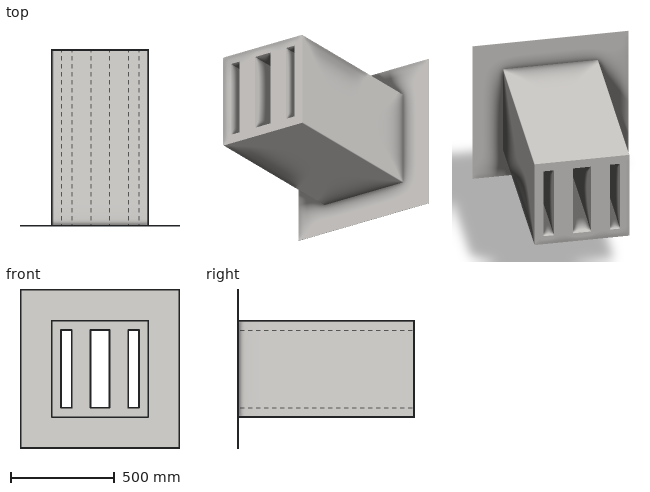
import cadquery as cq

flange_size = 765.0
flange_thickness = 2.0
body_size = 467.0
body_length = 850.0
body_edge_radius = 4.0
slot_height = 375.0
slot_span = 375.0
side_slot_width = 50.0
middle_slot_width = 90.0

side_slot_offset = (slot_span - side_slot_width) / 2


def bar(width, height, length):
    """Rectangular bar centred on the Y axis, running from the front face toward +Y."""
    return cq.Workplane("XY").box(width, length, height, centered=(True, False, True))


body = bar(body_size, body_size, body_length).edges("|Y").fillet(body_edge_radius)

flange = bar(flange_size, flange_size, flange_thickness).cut(body)

result = body.union(flange, clean=False)

for offset, width in (
    (-side_slot_offset, side_slot_width),
    (0, middle_slot_width),
    (side_slot_offset, side_slot_width),
):
    slot = bar(width, slot_height, body_length).translate((offset, 0, 0))
    result = result.cut(slot, clean=False)